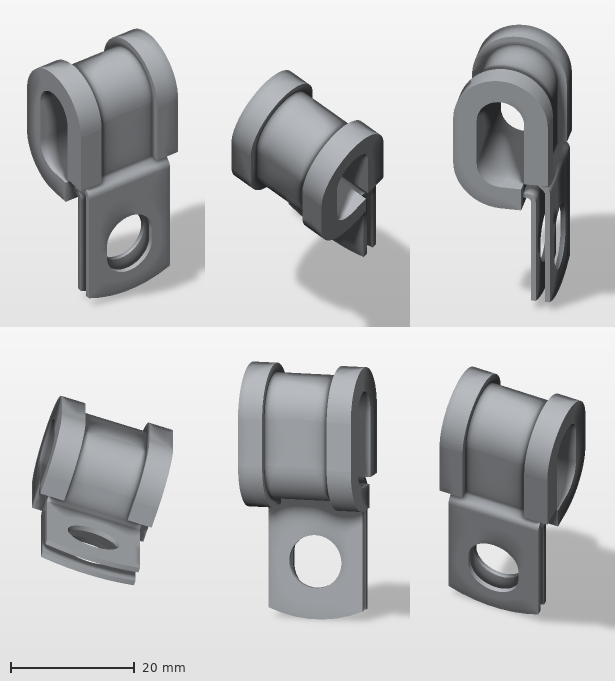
import cadquery as cq
import math

total_height = 42.65
total_width = 18.95
outer_radius = 7.825
inner_radius = 3.92
bend_spacing = 7.95
right_leg_length = 10.85
lower_leg_length = 3.4
flange_width = 4.05
groove_width = total_width - 2 * flange_width

band_outer_radius = 6.3
band_thickness = 0.8
band_middle_radius = band_outer_radius - band_thickness / 2
tab_width = 15.8
tab_bottom = outer_radius - total_height
tab_end_sag = 1.6
embed_depth = 0.85
inner_bend_radius = 0.65
bend_radius = inner_bend_radius + band_thickness / 2
jog_angle = math.radians(45)
front_tab_face_x = 5.5
front_tab_x = front_tab_face_x - band_thickness / 2
rear_tab_x = outer_radius - band_thickness / 2

hole_diameter = 8.75
rear_slot_length = 10.95
hole_depth = 33.2
hole_z = outer_radius - hole_depth


def loop(radius, width):
    """Open loop between the cavity and the given outer radius, centred on Y = 0."""
    diagonal = math.sqrt(0.5)
    return (
        cq.Workplane("XZ")
        .moveTo(radius, -right_leg_length)
        .lineTo(radius, 0)
        .threePointArc((0, radius), (-radius, 0))
        .lineTo(-radius, -bend_spacing)
        .threePointArc((-radius * diagonal, -bend_spacing - radius * diagonal), (0, -bend_spacing - radius))
        .lineTo(lower_leg_length, -bend_spacing - radius)
        .lineTo(lower_leg_length, -bend_spacing - inner_radius)
        .lineTo(0, -bend_spacing - inner_radius)
        .threePointArc(
            (-inner_radius * diagonal, -bend_spacing - inner_radius * diagonal),
            (-inner_radius, -bend_spacing),
        )
        .lineTo(-inner_radius, 0)
        .threePointArc((0, inner_radius), (inner_radius, 0))
        .lineTo(inner_radius, -right_leg_length)
        .close()
        .extrude(width / 2, both=True)
    )


def front_tab():
    """Strip leaving the lower leg and turning down through a right angle."""
    level = -bend_spacing - band_middle_radius
    path = (
        cq.Workplane("XZ")
        .moveTo(lower_leg_length - embed_depth, level)
        .lineTo(front_tab_x - bend_radius, level)
        .tangentArcPoint((front_tab_x, level - bend_radius), relative=False)
        .lineTo(front_tab_x, tab_bottom)
    )
    section = cq.Workplane("YZ", origin=(lower_leg_length - embed_depth, 0, level))
    return section.rect(tab_width, band_thickness).sweep(path)


def rear_tab():
    """Strip leaving the right leg and jogging outward to the loop's outer side."""
    start_x = band_middle_radius
    start_z = -right_leg_length
    arc_dx = bend_radius * (1 - math.cos(jog_angle))
    arc_dz = bend_radius * math.sin(jog_angle)
    slope_dx = rear_tab_x - start_x - 2 * arc_dx
    slope_dz = slope_dx / math.tan(jog_angle)
    jog_end_z = start_z - 2 * arc_dz - slope_dz
    path = (
        cq.Workplane("XZ")
        .moveTo(start_x, start_z + embed_depth)
        .lineTo(start_x, start_z)
        .tangentArcPoint((start_x + arc_dx, start_z - arc_dz), relative=False)
        .lineTo(rear_tab_x - arc_dx, jog_end_z + arc_dz)
        .tangentArcPoint((rear_tab_x, jog_end_z), relative=False)
        .lineTo(rear_tab_x, tab_bottom)
    )
    section = cq.Workplane("XY", origin=(start_x, 0, start_z + embed_depth))
    return section.rect(band_thickness, tab_width).sweep(path)


def tab_trim():
    """Envelope with the rounded lower end shared by both tabs."""
    half_width = tab_width / 2
    shoulder_z = tab_bottom + tab_end_sag
    return (
        cq.Workplane("YZ")
        .moveTo(-half_width, 0)
        .lineTo(-half_width, shoulder_z)
        .threePointArc((0, tab_bottom), (half_width, shoulder_z))
        .lineTo(half_width, 0)
        .close()
        .extrude(outer_radius * 2)
    )


flange_offset = (groove_width + flange_width) / 2
cushion = loop(band_outer_radius, groove_width)
for side in (-1, 1):
    cushion = cushion.union(loop(outer_radius, flange_width).translate((0, side * flange_offset, 0)))

bolt_hole = (
    cq.Workplane("YZ")
    .center(0, hole_z)
    .circle(hole_diameter / 2)
    .extrude(outer_radius * 2)
)
adjustment_slot = (
    cq.Workplane("YZ")
    .center(0, hole_z)
    .slot2D(rear_slot_length, hole_diameter, 90)
    .extrude(outer_radius * 2)
)
tabs = front_tab().cut(bolt_hole).union(rear_tab().cut(adjustment_slot)).intersect(tab_trim())

result = cushion.union(tabs)